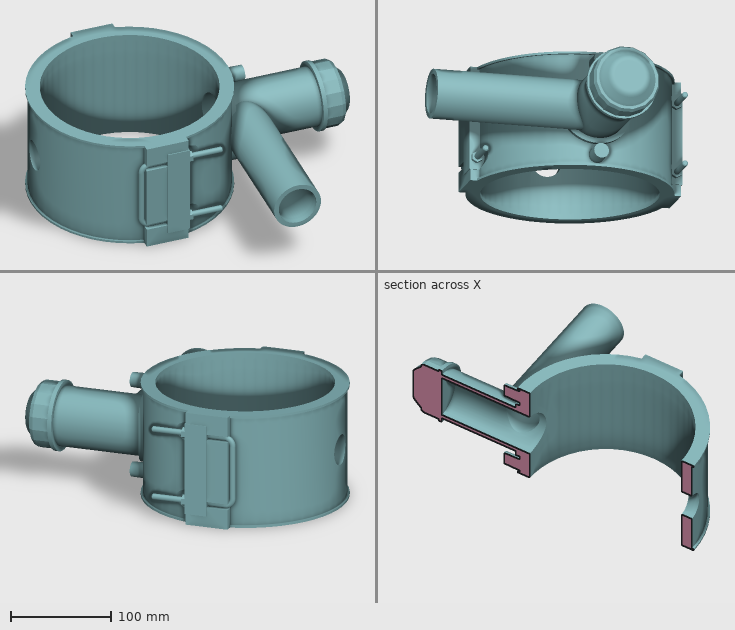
import cadquery as cq
import math

TOTAL_WIDTH = 284.5
TOTAL_DEPTH = 332.5

LIP_RADIUS = 104.5
BARREL_RADIUS = 102.0
BORE_RADIUS = 89.8
RING_HEIGHT = 118.0
LIP_THICKNESS = 2.3
FRONT_HOLE_DIAMETER = 31.3

LUG_REACH = 109.0
LUG_LENGTH = 22.3
PAD_THICKNESS = 1.0
PAD_HEIGHT = 95.0
PAD_REACH = LUG_REACH + PAD_THICKNESS
PAD_LENGTH = LUG_LENGTH + PAD_THICKNESS

ROD_DIAMETER = 6.0
ROD_RADIUS = ROD_DIAMETER / 2
ROD_X = 103.0
ROD_Z = 35.5
ROD_TIP_Y = 60.2
ROD_TIP_CHAMFER = 1.0
ROD_BEND_RADIUS = 8.0
SPINE_Y = -25.5
NUT_ACROSS_FLATS = 10.0
NUT_HEIGHT = 4.3
NOTCH_RADIUS = 14.3

NECK_DIAMETER = 61.2
NECK_BORE_DIAMETER = 50.5
COLLAR_DIAMETER = 72.0
COLLAR_OUTER_RADIUS = 106.8
CAP_TOP_Y = TOTAL_DEPTH - LIP_RADIUS
CAP_HEIGHT = 34.5
CAP_FLANGE_Y = CAP_TOP_Y - CAP_HEIGHT
CAP_FLANGE_THICKNESS = 4.3
CAP_GRIP_SIDES = 16
CAP_GRIP_RADIUS = 34.3
CAP_GRIP_LENGTH = 16.5
CAP_SHOULDER_HEIGHT = 4.0
CAP_SHOULDER_INSET = 2.0
DOME_BASE_RADIUS = 29.0
DOME_ROUNDING = 8.0

BRANCH_DIAMETER = 50.0
BRANCH_BORE_DIAMETER = 40.0
BRANCH_Y = 114.0
BRANCH_END_X = TOTAL_WIDTH - PAD_REACH

STUD_Z = 47.2
STUD_TIP_Y = 120.5
STUD_TIP_RADIUS = 7.5
STUD_BASE_RADIUS = 8.3

WALL_MIDDLE = (BARREL_RADIUS + BORE_RADIUS) / 2


def centred_box(x_min, x_max, y_min, y_max, height):
    """Box between the given X and Y limits, centred on Z = 0."""
    box = cq.Workplane("XY").box(x_max - x_min, y_max - y_min, height)
    return box.translate(((x_min + x_max) / 2, (y_min + y_max) / 2, 0))


def z_cylinder(radius, height):
    return cq.Workplane("XY").circle(radius).extrude(height / 2, both=True)


def y_plane(y, x=0, z=0):
    """Workplane facing +Y whose local axes are +Z and +X."""
    return cq.Workplane(cq.Plane(origin=(x, y, z), xDir=(0, 0, 1), normal=(0, 1, 0)))


def y_cylinder(diameter, y_min, y_max, x=0, z=0):
    return y_plane(y_min, x, z).circle(diameter / 2).extrude(y_max - y_min)


def x_cylinder(diameter, x_min, x_max, y):
    plane = cq.Workplane("YZ", origin=(x_min, y, 0))
    return plane.circle(diameter / 2).extrude(x_max - x_min)


def make_ring():
    """Solid barrel with a thin lip at each end."""
    ring = z_cylinder(BARREL_RADIUS, RING_HEIGHT)
    lip = cq.Workplane("XY").circle(LIP_RADIUS).extrude(LIP_THICKNESS)
    for z in (-RING_HEIGHT / 2, RING_HEIGHT / 2 - LIP_THICKNESS):
        ring = ring.union(lip.translate((0, 0, z)))
    return ring


def make_lug():
    """Right-hand lug with its rod slots and the pad on the neck side."""
    lug = centred_box(BORE_RADIUS, LUG_REACH, -LUG_LENGTH, LUG_LENGTH, RING_HEIGHT)
    slot = centred_box(ROD_X, LUG_REACH, -LUG_LENGTH, 0, ROD_DIAMETER)
    for z in (-ROD_Z, ROD_Z):
        lug = lug.cut(slot.translate((0, 0, z)))
    pad = centred_box(BORE_RADIUS, PAD_REACH, 0, PAD_LENGTH, PAD_HEIGHT)
    return lug.union(pad)


def make_spanner_notches():
    """Scallops in the barrel beside the right-hand nuts."""
    notches = cq.Workplane("XY")
    for z in (-ROD_Z, ROD_Z):
        notches = notches.union(
            y_cylinder(2 * NOTCH_RADIUS, PAD_LENGTH, ROD_TIP_Y, LUG_REACH, z))
    return notches


def make_u_bolt():
    """Right-hand U-bolt with a hexagon nut on each leg."""
    bend_y = SPINE_Y + ROD_BEND_RADIUS
    bend_z = ROD_Z - ROD_BEND_RADIUS
    bend_offset = ROD_BEND_RADIUS * math.sqrt(0.5)
    path = (
        cq.Workplane("YZ", origin=(ROD_X, 0, 0))
        .moveTo(ROD_TIP_Y, ROD_Z)
        .lineTo(bend_y, ROD_Z)
        .threePointArc((bend_y - bend_offset, bend_z + bend_offset), (SPINE_Y, bend_z))
        .lineTo(SPINE_Y, -bend_z)
        .threePointArc((bend_y - bend_offset, -bend_z - bend_offset), (bend_y, -ROD_Z))
        .lineTo(ROD_TIP_Y, -ROD_Z)
    )
    bolt = y_plane(ROD_TIP_Y, ROD_X, ROD_Z).circle(ROD_RADIUS).sweep(path)
    bolt = bolt.faces(">Y").chamfer(ROD_TIP_CHAMFER)
    nut_corner_diameter = NUT_ACROSS_FLATS / math.cos(math.pi / 6)
    for z in (-ROD_Z, ROD_Z):
        nut = y_plane(PAD_LENGTH, ROD_X, z).polygon(6, nut_corner_diameter).extrude(NUT_HEIGHT)
        bolt = bolt.union(nut)
    return bolt


def make_neck():
    """Neck pipe with the collar that saddles the barrel."""
    neck = y_cylinder(NECK_DIAMETER, WALL_MIDDLE, CAP_FLANGE_Y)
    collar = y_cylinder(COLLAR_DIAMETER, 0, COLLAR_OUTER_RADIUS)
    collar = collar.intersect(z_cylinder(COLLAR_OUTER_RADIUS, RING_HEIGHT))
    return neck.union(collar)


def grip_section(y):
    """Polygon of the cap grip, with flats facing X and Z."""
    grip = y_plane(y).transformed(rotate=(0, 0, 180 / CAP_GRIP_SIDES))
    return grip.polygon(CAP_GRIP_SIDES, 2 * CAP_GRIP_RADIUS)


def make_cap():
    """Flange, faceted grip, sloping shoulder and rounded dome."""
    grip_y = CAP_FLANGE_Y + CAP_FLANGE_THICKNESS
    shoulder_y = grip_y + CAP_GRIP_LENGTH
    dome_y = shoulder_y + CAP_SHOULDER_HEIGHT
    flange = y_cylinder(COLLAR_DIAMETER, CAP_FLANGE_Y, grip_y)
    grip = grip_section(grip_y).extrude(CAP_GRIP_LENGTH)
    shoulder_taper = math.degrees(math.atan(CAP_SHOULDER_INSET / CAP_SHOULDER_HEIGHT))
    shoulder = grip_section(shoulder_y).extrude(
        CAP_SHOULDER_HEIGHT, taper=shoulder_taper)
    dome_height = CAP_TOP_Y - dome_y
    dome = (
        y_plane(dome_y)
        .circle(DOME_BASE_RADIUS)
        .workplane(offset=dome_height)
        .circle(DOME_BASE_RADIUS - dome_height)
        .loft()
        .faces(">Y")
        .edges()
        .fillet(DOME_ROUNDING)
    )
    return flange.union(grip).union(shoulder).union(dome)


def make_stud(z):
    """Stud tapering from the barrel wall to its tip."""
    return (
        y_plane(WALL_MIDDLE, 0, z)
        .circle(STUD_BASE_RADIUS)
        .workplane(offset=STUD_TIP_Y - WALL_MIDDLE)
        .circle(STUD_TIP_RADIUS)
        .loft()
    )


def both_sides(right):
    """The given right-hand shape with its mirror image on the left."""
    return right.union(right.mirror("YZ"))


body = make_ring()
body = body.union(both_sides(make_lug()))
body = body.cut(both_sides(make_spanner_notches()))
body = body.union(both_sides(make_u_bolt()))

body = body.union(make_neck())
body = body.union(make_cap())
body = body.union(x_cylinder(BRANCH_DIAMETER, 0, BRANCH_END_X, BRANCH_Y))
for stud_z in (-STUD_Z, STUD_Z):
    body = body.union(make_stud(stud_z))

body = body.cut(z_cylinder(BORE_RADIUS, RING_HEIGHT))
body = body.cut(y_cylinder(FRONT_HOLE_DIAMETER, -LIP_RADIUS, 0))
body = body.cut(y_cylinder(NECK_BORE_DIAMETER, 0, CAP_FLANGE_Y))
body = body.cut(x_cylinder(BRANCH_BORE_DIAMETER, 0, BRANCH_END_X, BRANCH_Y))

result = body